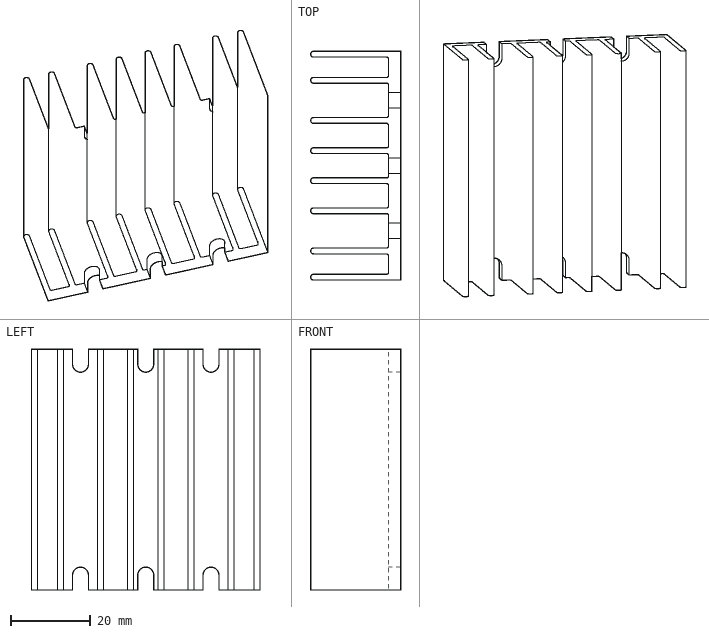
import cadquery as cq

depth = 22.86
width = 57.912
length = 60.96

base_thickness = 3.175
fin_thickness = 1.524
root_radius = fin_thickness / 4

outer_fin_offset = (width - fin_thickness) / 2
fin_offsets = [3.81, 11.43, 21.59, outer_fin_offset]

slot_width = 3.9624
slot_centre_depth = 3.81
slot_pitch = 16.51

base_front = depth / 2 - base_thickness
edge_tolerance = 0.01


def make_base():
    """Flat plate at the +X side of the part."""
    return cq.Workplane("XY").box(base_thickness, width, length).translate(
        ((depth - base_thickness) / 2, 0, 0)
    )


def make_fin(y):
    """Straight fin with a fully rounded free edge, centred at the given Y."""
    half_thickness = fin_thickness / 2
    tip_x = -depth / 2
    round_start_x = tip_x + half_thickness
    return (
        cq.Workplane("XY", origin=(0, y, -length / 2))
        .moveTo(base_front, half_thickness)
        .lineTo(round_start_x, half_thickness)
        .threePointArc((tip_x, 0), (round_start_x, -half_thickness))
        .lineTo(base_front, -half_thickness)
        .close()
        .extrude(length)
    )


def round_fin_roots(body):
    """Fillet the inner corners where the fins meet the base plate."""
    roots = cq.selectors.BoxSelector(
        (base_front - edge_tolerance, -width / 2 + edge_tolerance, -length),
        (base_front + edge_tolerance, width / 2 - edge_tolerance, length),
    )
    return body.edges("|Z").edges(roots).fillet(root_radius)


def make_slot(y, end):
    """Round-bottomed slot cutter; end is +1 for the top, -1 for the bottom."""
    radius = slot_width / 2
    edge_z = end * length / 2
    centre_z = end * (length / 2 - slot_centre_depth)
    bottom_z = centre_z - end * radius
    return (
        cq.Workplane("YZ", origin=(base_front, 0, 0))
        .moveTo(y - radius, edge_z)
        .lineTo(y - radius, centre_z)
        .threePointArc((y, bottom_z), (y + radius, centre_z))
        .lineTo(y + radius, edge_z)
        .close()
        .extrude(base_thickness)
    )


heatsink = make_base()
for offset in fin_offsets:
    for side in (-1, 1):
        heatsink = heatsink.union(make_fin(side * offset))
heatsink = round_fin_roots(heatsink)

for slot_y in (-slot_pitch, 0, slot_pitch):
    for slot_end in (-1, 1):
        heatsink = heatsink.cut(make_slot(slot_y, slot_end))

result = heatsink